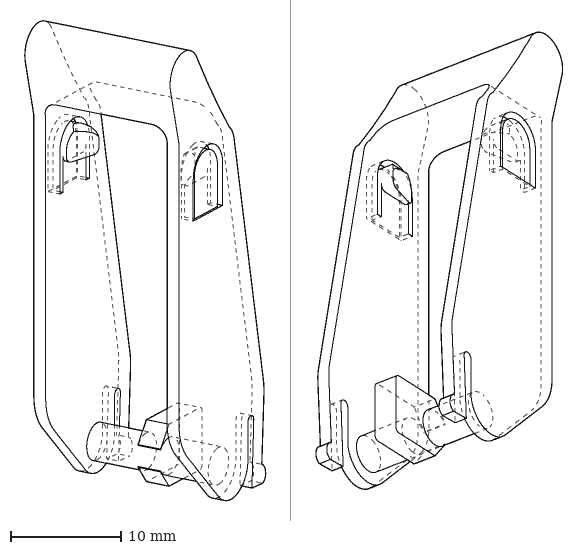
import cadquery as cq
import math

width = 15.5
plate_thickness = 1.28
inner_width = width - 2 * plate_thickness
inner_face_x = inner_width / 2

grip_radius = 2.5
grip_y = grip_radius
grip_z = 45.6 - grip_radius
grip_back_angle = math.radians(26)
grip_front_angle = math.radians(193.5)
opening_top = 38.5
opening_corner_radius = 1.35
opening_reach = 18.25

front_edge_y = 1.55
front_edge_top = 36.95
front_bend_radius = 5.0
toe_y = 10.55
toe_z = 3.05
toe_radius = 2.95
shoulder_start = (10.25, 36.0)
shoulder_middle = (10.8, 35.42)
shoulder_end = (11.1, 34.8)
neck_middle = (7.05, 40.55)
heel_start = (16.15, 10.1)
heel_middle = (16.28, 9.3)
heel_end = (16.28, 8.45)

slot_radius = 0.5
slot_y = toe_y + toe_radius + slot_radius
slot_top_center = 6.6
finger_tip_inner = (14.2, 0.1)
hook_neck = (15.9, 1.85)
hook_tip_y = 16.55
hook_tip_z = 1.0
hook_bottom_y = 16.05
hook_lower_middle = (16.35, 0.25)
hook_upper_middle = (16.35, 1.5)

pin_radius = 1.8
pin_y = 10.45
pin_z = 3.1
rib_width = 2.4
rib_back = 16.2
rib_bottom = 0.2
rib_top = 6.15
rib_corner_radius = 0.4
rib_nose_y = 9.0
rib_nose_half_height = 1.1

window_y = 6.55
window_arch_z = 32.82
window_bottom = 28.8
window_radius = 2.55
tongue_radius = 2.0
tongue_recess = 0.25
bump_bottom = 31.65
bump_corner_radius = 0.65
bump_front_depth = 0.35
bump_back_depth = 1.35
bump_crown_middle = (0.8, 0.55)
bump_crown_drop = 1.65


def extrude_x(profile, x_start, x_end):
    """Extrude a closed YZ profile between two X positions."""
    return profile.extrude(x_end - x_start).translate((x_start, 0, 0))


def point_on_circle(y, z, radius, angle):
    return (y + radius * math.cos(angle), z + radius * math.sin(angle))


def side_outline():
    diagonal = math.radians(225)
    bend_y = front_edge_y + front_bend_radius
    toe_tangent = point_on_circle(toe_y, toe_z, toe_radius, diagonal)
    bend_z = toe_z + toe_y - bend_y + math.sqrt(2) * (front_bend_radius - toe_radius)
    bend_middle = point_on_circle(bend_y, bend_z, front_bend_radius, math.radians(202.5))
    bend_end = point_on_circle(bend_y, bend_z, front_bend_radius, diagonal)
    grip_back = point_on_circle(grip_y, grip_z, grip_radius, grip_back_angle)
    grip_front = point_on_circle(grip_y, grip_z, grip_radius, grip_front_angle)
    return (
        cq.Workplane("YZ")
        .moveTo(*grip_front)
        .lineTo(front_edge_y, front_edge_top)
        .lineTo(front_edge_y, bend_z)
        .threePointArc(bend_middle, bend_end)
        .lineTo(*toe_tangent)
        .threePointArc(
            point_on_circle(toe_y, toe_z, toe_radius, math.radians(292.5)),
            (toe_y + toe_radius, toe_z),
        )
        .lineTo(slot_y - slot_radius, slot_top_center)
        .threePointArc(
            (slot_y, slot_top_center + slot_radius),
            (slot_y + slot_radius, slot_top_center),
        )
        .lineTo(*finger_tip_inner)
        .lineTo(hook_bottom_y, 0)
        .threePointArc(hook_lower_middle, (hook_tip_y, hook_tip_z))
        .threePointArc(hook_upper_middle, hook_neck)
        .lineTo(*heel_end)
        .threePointArc(heel_middle, heel_start)
        .lineTo(*shoulder_end)
        .threePointArc(shoulder_middle, shoulder_start)
        .threePointArc(neck_middle, grip_back)
        .threePointArc((grip_y, grip_z + grip_radius), grip_front)
        .close()
    )


def arch(radius, bottom):
    """Closed YZ profile with a flat bottom and a round top."""
    return (
        cq.Workplane("YZ")
        .moveTo(window_y - radius, bottom)
        .lineTo(window_y - radius, window_arch_z)
        .threePointArc((window_y, window_arch_z + radius), (window_y + radius, window_arch_z))
        .lineTo(window_y + radius, bottom)
        .close()
    )


def make_frame():
    frame = extrude_x(side_outline(), -width / 2, width / 2)
    opening = (
        cq.Workplane("XY")
        .box(inner_width, 2 * opening_reach, opening_top, centered=(True, True, False))
        .edges("|Y and >Z")
        .fillet(opening_corner_radius)
    )
    return frame.cut(opening)


def make_pin():
    pin = cq.Workplane("YZ").center(pin_y, pin_z).circle(pin_radius)
    return extrude_x(pin, -inner_face_x, inner_face_x)


def make_rib():
    profile = (
        cq.Workplane("YZ")
        .moveTo(pin_y, rib_bottom)
        .lineTo(rib_back, rib_bottom)
        .lineTo(rib_back, rib_top)
        .lineTo(pin_y, rib_top)
        .lineTo(rib_nose_y, pin_z + rib_nose_half_height)
        .lineTo(rib_nose_y, pin_z - rib_nose_half_height)
        .close()
    )
    rib = extrude_x(profile, -rib_width / 2, rib_width / 2)
    return rib.edges("|X and >Y").fillet(rib_corner_radius)


def make_tongue():
    """Tongue and latch bump for the plate on the -X side."""
    tongue = extrude_x(arch(tongue_radius, window_bottom), -width / 2 + tongue_recess, -inner_face_x)

    bump = extrude_x(arch(tongue_radius, bump_bottom), -inner_face_x, -inner_face_x + bump_back_depth)
    bump = bump.edges("|X and <Z").fillet(bump_corner_radius)
    front = window_y - tongue_radius
    back = window_y + tongue_radius
    ramp = (
        cq.Workplane("XY")
        .moveTo(-inner_face_x, front)
        .lineTo(-inner_face_x + bump_front_depth, front)
        .lineTo(-inner_face_x + bump_back_depth, back)
        .lineTo(-inner_face_x, back)
        .close()
        .extrude(grip_z)
    )
    crown_z = window_arch_z + tongue_radius
    crown = (
        cq.Workplane("XZ")
        .moveTo(-inner_face_x, 0)
        .lineTo(-inner_face_x, crown_z)
        .threePointArc(
            (-inner_face_x + bump_crown_middle[0], crown_z - bump_crown_middle[1]),
            (-inner_face_x + bump_back_depth, crown_z - bump_crown_drop),
        )
        .lineTo(-inner_face_x + bump_back_depth, 0)
        .close()
        .extrude(-2 * window_y)
    )
    return tongue.union(bump.intersect(ramp).intersect(crown))


windows = extrude_x(arch(window_radius, window_bottom), -width / 2, width / 2)
left_tongue = make_tongue()

result = make_frame().cut(windows)
result = result.union(left_tongue).union(left_tongue.mirror("YZ"))
result = result.union(make_pin()).union(make_rib())